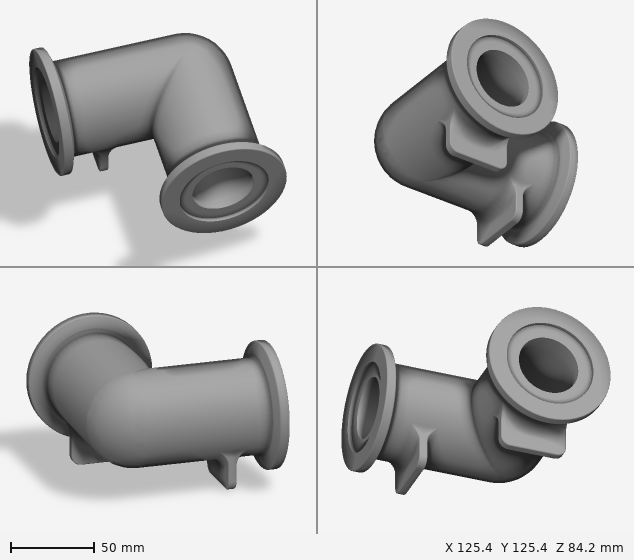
import cadquery as cq
import math

overall_length = 125.4
flange_radius = 78.0 / 2
leg_length = overall_length - flange_radius
overall_height = 84.2

pipe_radius = 58.7 / 2
bore_radius = 38.1 / 2
crease_fillet = 1.0

rim_thickness = 5.8
rim_back = -leg_length + rim_thickness
cone_angle = 20
cone_slope = math.tan(math.radians(cone_angle))
neck_fillet = 2.3
neck_foot_radius = pipe_radius + neck_fillet
cone_back = rim_back + (flange_radius - neck_foot_radius) * cone_slope
rim_back_round = 1.0
rim_front_round = 0.6
recess_radius = 55.7 / 2
recess_depth = 2.5

tab_width = 41.6
tab_thickness = 5.3
tab_offset = 56.2
tab_depth = overall_height - flange_radius
tab_corner_radius = 6.0
tab_edge_round = 0.8
tab_root_fillet = 6.3

slack = 0.1


def ring_at(y):
    """Select the circular edges of the -Y leg lying in the plane at y."""
    reach = overall_length
    return cq.selectors.BoxSelector(
        (-reach, y - slack, -reach), (reach, y + slack, reach)
    )


def cylinder_along_y(radius, start, end):
    """Cylinder on the Y axis between two Y positions."""
    return cq.Workplane("XZ", origin=(0, start, 0)).circle(radius).extrude(start - end)


def corner_ball(radius):
    """Quarter sphere that rounds the outside of the elbow, at -X and +Y."""
    return (
        cq.Workplane("YZ")
        .moveTo(0, -radius)
        .threePointArc((radius, 0), (0, radius))
        .close()
        .revolve(90, (0, 0, 0), (0, 1, 0))
    )


def both_legs(leg):
    """Join a -Y leg with its copy turned onto the +X axis."""
    return leg.union(leg.rotate((0, 0, 0), (0, 0, 1), 90))


def flanged_pipe():
    """Solid pipe along -Y with its tapered flange."""
    pipe = (
        cq.Workplane("XY")
        .lineTo(pipe_radius, 0)
        .lineTo(pipe_radius, cone_back + neck_fillet)
        .radiusArc((neck_foot_radius, cone_back), -neck_fillet)
        .lineTo(flange_radius, rim_back)
        .lineTo(flange_radius, -leg_length)
        .lineTo(0, -leg_length)
        .close()
        .revolve(360, (0, 0, 0), (0, 1, 0))
    )
    pipe = pipe.edges(ring_at(rim_back)).fillet(rim_back_round)
    return pipe.edges(ring_at(-leg_length)).fillet(rim_front_round)


def tab():
    """Plate with rounded lower corners, reaching down from the pipe axis."""
    return (
        cq.Workplane("XY")
        .box(tab_width, tab_thickness, tab_depth, centered=(True, True, False))
        .translate((0, -tab_offset, -tab_depth))
        .edges("|Y and <Z")
        .fillet(tab_corner_radius)
    )


def near_tab(margin, bottom, top):
    """Select edges lying wholly within a margin of the tab, between two Z heights."""
    x = tab_width / 2 + slack
    y = tab_thickness / 2 + margin
    return cq.selectors.BoxSelector(
        (-x, -tab_offset - y, bottom - slack),
        (x, -tab_offset + y, top + slack),
        boundingbox=True,
    )


def tabbed_leg():
    """Flanged pipe with its tab blended in all around the root."""
    root_top = -math.sqrt(pipe_radius**2 - (tab_width / 2) ** 2)
    leg = flanged_pipe().union(tab())
    leg = leg.edges(near_tab(slack, -pipe_radius, root_top)).fillet(tab_root_fillet)
    rims = leg.edges(near_tab(tab_root_fillet, -tab_depth, root_top)).edges("not |Y")
    return rims.fillet(tab_edge_round)


def leg_bore():
    """Empty space inside the -Y leg: bore and face recess."""
    bore = cylinder_along_y(bore_radius, 0, -leg_length)
    recess = cylinder_along_y(recess_radius, -leg_length + recess_depth, -leg_length)
    return bore.union(recess)


def elbow_body():
    """Solid elbow with its outer corner rounded and its inner crease filleted."""
    body = both_legs(tabbed_leg()).union(corner_ball(pipe_radius))
    reach = pipe_radius + slack
    crease = cq.selectors.BoxSelector(
        (-slack, -reach, -reach), (reach, slack, reach), boundingbox=True
    )
    return body.edges(crease).fillet(crease_fillet)


passage = both_legs(leg_bore()).union(corner_ball(bore_radius))
result = elbow_body().cut(passage)